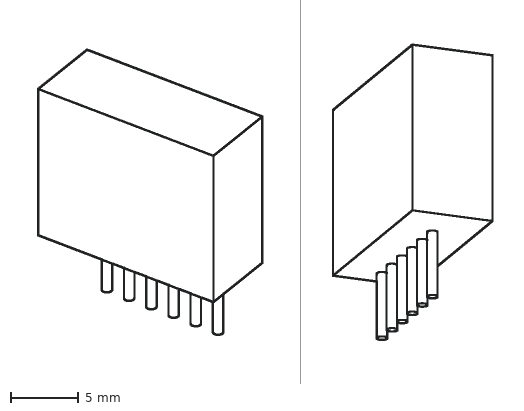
import cadquery as cq

total_height = 18.1
housing_length = 15.8
housing_width = 6.4

pin_count = 6
pin_diameter = 0.8
pin_length = 5.07
pin_row_span = 10.01
first_pin_inset = 4.0

housing_height = total_height - pin_length
pin_pitch = pin_row_span / (pin_count - 1)
first_pin_x = first_pin_inset - housing_length / 2


def make_housing():
    """Plain rectangular block standing on Z = 0, centred in X and Y."""
    return cq.Workplane("XY").box(
        housing_length, housing_width, housing_height, centered=(True, True, False)
    )


def make_pin(x):
    """Round pin hanging from the housing underside at the given X, on the Y centre line."""
    return cq.Workplane("XY").center(x, 0).circle(pin_diameter / 2).extrude(-pin_length)


housing = make_housing()
pins = [make_pin(first_pin_x + index * pin_pitch) for index in range(pin_count)]

result = cq.Compound.makeCompound([housing.val(), *[pin.val() for pin in pins]])